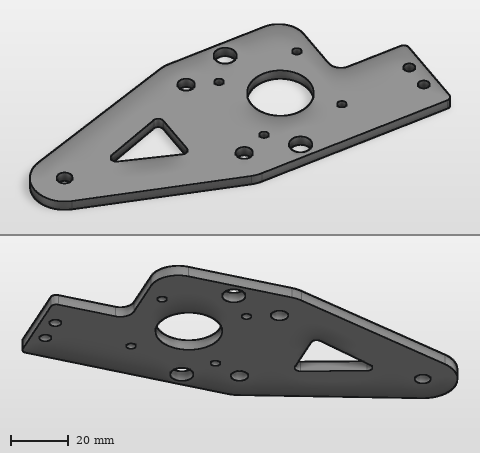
import cadquery as cq
import math

THICKNESS = 4.0
HALF_WIDTH = 32.0

TAB_LEFT_X = 0.0
TAB_TOP_Y = 50.0
TAB_CORNER_RADIUS = 2.0
SHOULDER_Y = 22.0
SHOULDER_RADIUS = 10.0
INNER_CORNER_RADIUS = 5.0

BORE_DIAMETER = 23.0
MOTOR_HOLE_DIAMETER = 3.3
MOTOR_HOLE_SPACING = 31.0

SIDE_HOLE_DIAMETER = 8.0
SIDE_HOLE_X = 26.0
SIDE_HOLE_Y = -7.0
HIP_HOLE_DIAMETER = 6.0
HIP_HOLE_X = 20.0
HIP_HOLE_Y = -26.0
TIP_HOLE_DIAMETER = 5.5
TIP_HOLE_Y = -86.0
TAB_HOLE_DIAMETER = 4.1
TAB_HOLE_XS = (11.0, 21.0)
TAB_HOLE_Y = 45.0

EDGE_RADIUS = HALF_WIDTH - HIP_HOLE_X

WINDOW_HALF_WIDTH = 11.0
WINDOW_TOP_Y = -42.0
WINDOW_APEX_Y = -71.0
WINDOW_CORNER_RADIUS = 2.0


def arc_point(center, radius, angle):
    """Point on a circle at an angle (radians) counterclockwise from +X."""
    return (center[0] + radius * math.cos(angle), center[1] + radius * math.sin(angle))


def mirrored(point):
    """Point reflected across the Y axis."""
    return (-point[0], point[1])


def taper_angle(upper_center, lower_center):
    """Direction of the outward normal of the line tangent to two equal right-hand circles."""
    return -math.atan2(upper_center[0] - lower_center[0], upper_center[1] - lower_center[1])


def make_plate():
    hip = (HIP_HOLE_X, HIP_HOLE_Y)
    tip = (0, TIP_HOLE_Y)
    normal = taper_angle(hip, tip)
    hip_side = (HALF_WIDTH, HIP_HOLE_Y)
    hip_middle = arc_point(hip, EDGE_RADIUS, normal / 2)
    hip_end = arc_point(hip, EDGE_RADIUS, normal)
    tip_start = arc_point(tip, EDGE_RADIUS, normal)
    tip_bottom = (0, TIP_HOLE_Y - EDGE_RADIUS)

    plate = (
        cq.Workplane("XY")
        .moveTo(TAB_LEFT_X, TAB_TOP_Y)
        .lineTo(HALF_WIDTH, TAB_TOP_Y)
        .lineTo(*hip_side)
        .threePointArc(hip_middle, hip_end)
        .lineTo(*tip_start)
        .threePointArc(tip_bottom, mirrored(tip_start))
        .lineTo(*mirrored(hip_end))
        .threePointArc(mirrored(hip_middle), mirrored(hip_side))
        .lineTo(-HALF_WIDTH, SHOULDER_Y)
        .lineTo(TAB_LEFT_X, SHOULDER_Y)
        .close()
        .extrude(THICKNESS)
    )
    rounded_corners = (
        (TAB_LEFT_X, TAB_TOP_Y, TAB_CORNER_RADIUS),
        (HALF_WIDTH, TAB_TOP_Y, TAB_CORNER_RADIUS),
        (-HALF_WIDTH, SHOULDER_Y, SHOULDER_RADIUS),
        (TAB_LEFT_X, SHOULDER_Y, INNER_CORNER_RADIUS),
    )
    for x, y, radius in rounded_corners:
        corner_edge = cq.selectors.NearestToPointSelector((x, y, THICKNESS / 2))
        plate = plate.edges("|Z").edges(corner_edge).fillet(radius)
    return plate


def make_holes(diameter, points):
    return cq.Workplane("XY").pushPoints(points).circle(diameter / 2).extrude(THICKNESS)


def make_window():
    top_right = (WINDOW_HALF_WIDTH, WINDOW_TOP_Y)
    return (
        cq.Workplane("XY")
        .polyline([top_right, (0, WINDOW_APEX_Y), mirrored(top_right)])
        .close()
        .extrude(THICKNESS)
        .edges("|Z")
        .fillet(WINDOW_CORNER_RADIUS)
    )


motor_offsets = (-MOTOR_HOLE_SPACING / 2, MOTOR_HOLE_SPACING / 2)
motor_hole_centers = [(x, y) for x in motor_offsets for y in motor_offsets]
hole_groups = (
    (BORE_DIAMETER, [(0, 0)]),
    (MOTOR_HOLE_DIAMETER, motor_hole_centers),
    (SIDE_HOLE_DIAMETER, [(-SIDE_HOLE_X, SIDE_HOLE_Y), (SIDE_HOLE_X, SIDE_HOLE_Y)]),
    (HIP_HOLE_DIAMETER, [(-HIP_HOLE_X, HIP_HOLE_Y), (HIP_HOLE_X, HIP_HOLE_Y)]),
    (TIP_HOLE_DIAMETER, [(0, TIP_HOLE_Y)]),
    (TAB_HOLE_DIAMETER, [(x, TAB_HOLE_Y) for x in TAB_HOLE_XS]),
)

result = make_plate().cut(make_window())
for hole_diameter, hole_centers in hole_groups:
    result = result.cut(make_holes(hole_diameter, hole_centers))